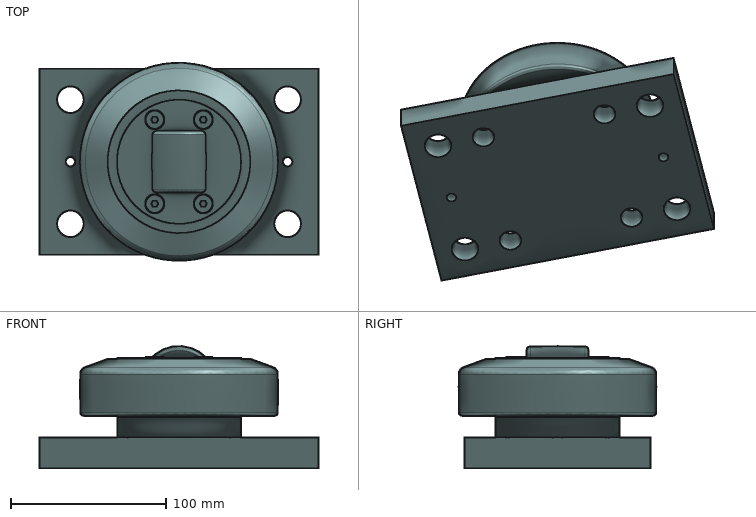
import cadquery as cq
import math

PLATE_LENGTH = 180.0
PLATE_WIDTH = 120.0
PLATE_THICKNESS = 20.0
MOUNT_HOLE_DIAMETER = 17.0
MOUNT_HOLE_X = 70.0
TAPPED_HOLE_DIAMETER = 13.84
TAPPED_HOLE_X = 40.0
HOLE_ROW_Y = 40.0
DOWEL_HOLE_DIAMETER = 6.0

PIN_DIAMETER = 80.0
PIN_COLLAR_TOP_Z = 32.9
PIN_NECK_DIAMETER = 79.5
CAP_TOP_Z = 71.5

CROWN_RADIUS = 500.0

ROLLER_BOTTOM_Z = 33.8
ROLLER_TOP_Z = 70.7
ROLLER_DIAMETER = 127.79
ROLLER_TOP_FACE_DIAMETER = 92.0
ROLLER_CONE_ANGLE = 20.0
ROLLER_TOP_FILLET = 5.0
ROLLER_BOTTOM_FILLET = 2.5

SIDE_ROLLER_TOP_Z = 79.0
SIDE_ROLLER_DIAMETER = 48.5
SIDE_ROLLER_LENGTH = 40.0
SIDE_ROLLER_FILLET = 2.5

SCREW_HEAD_DIAMETER = 11.7
SCREW_HEAD_HEIGHT = 0.5
SCREW_SEAT_DIAMETER = 12.4
SCREW_SEAT_DEPTH = 0.5
SCREW_CIRCLE_RADIUS = 31.3
SCREW_ANGLE = 60.0
HEX_ACROSS_FLATS = 4.0
HEX_DEPTH = 1.0
HEX_SIDES = 6


def crown_drop(half_length):
    """Loss of radius of a crowned rim at a distance from its middle."""
    return CROWN_RADIUS - math.sqrt(CROWN_RADIUS**2 - half_length**2)


def mirrored_points(x, y):
    """The four points at plus and minus x and y."""
    return [(sign_x * x, sign_y * y) for sign_x in (-1, 1) for sign_y in (-1, 1)]


def base_plate():
    plate = cq.Workplane("XY").box(
        PLATE_LENGTH, PLATE_WIDTH, PLATE_THICKNESS, centered=(True, True, False)
    )
    hole_groups = [
        (MOUNT_HOLE_DIAMETER, mirrored_points(MOUNT_HOLE_X, HOLE_ROW_Y)),
        (TAPPED_HOLE_DIAMETER, mirrored_points(TAPPED_HOLE_X, HOLE_ROW_Y)),
        (DOWEL_HOLE_DIAMETER, [(-MOUNT_HOLE_X, 0), (MOUNT_HOLE_X, 0)]),
    ]
    for diameter, points in hole_groups:
        holes = cq.Workplane("XY").pushPoints(points).circle(diameter / 2).extrude(PLATE_THICKNESS)
        plate = plate.cut(holes)
    return plate


def pin():
    """Pin with a slightly narrower neck where it enters the main roller."""
    collar_height = PIN_COLLAR_TOP_Z - PLATE_THICKNESS
    neck_height = ROLLER_TOP_Z - PIN_COLLAR_TOP_Z
    cap_height = CAP_TOP_Z - ROLLER_TOP_Z
    return (
        cq.Workplane("XY", origin=(0, 0, PLATE_THICKNESS))
        .circle(PIN_DIAMETER / 2)
        .extrude(collar_height)
        .faces(">Z")
        .workplane()
        .circle(PIN_NECK_DIAMETER / 2)
        .extrude(neck_height)
        .faces(">Z")
        .workplane()
        .circle(PIN_DIAMETER / 2)
        .extrude(cap_height)
    )


def main_roller():
    radius = ROLLER_DIAMETER / 2
    top_face_radius = ROLLER_TOP_FACE_DIAMETER / 2
    cone_drop = (radius - top_face_radius) * math.tan(math.radians(ROLLER_CONE_ANGLE))
    shoulder_z = ROLLER_TOP_Z - cone_drop
    middle_z = (ROLLER_BOTTOM_Z + shoulder_z) / 2
    edge_radius = radius - crown_drop(shoulder_z - middle_z)
    roller = (
        cq.Workplane("XZ")
        .moveTo(0, ROLLER_BOTTOM_Z)
        .lineTo(edge_radius, ROLLER_BOTTOM_Z)
        .threePointArc((radius, middle_z), (edge_radius, shoulder_z))
        .lineTo(top_face_radius, ROLLER_TOP_Z)
        .lineTo(0, ROLLER_TOP_Z)
        .close()
        .revolve(360, (0, 0), (0, 1))
    )
    shoulder_edge = cq.selectors.NearestToPointSelector((0, 0, shoulder_z))
    roller = roller.edges(shoulder_edge).fillet(ROLLER_TOP_FILLET)
    return roller.faces("<Z").edges().fillet(ROLLER_BOTTOM_FILLET)


def side_roller():
    radius = SIDE_ROLLER_DIAMETER / 2
    half_length = SIDE_ROLLER_LENGTH / 2
    edge_radius = radius - crown_drop(half_length)
    roller = (
        cq.Workplane("XY")
        .moveTo(0, -half_length)
        .lineTo(edge_radius, -half_length)
        .threePointArc((radius, 0), (edge_radius, half_length))
        .lineTo(0, half_length)
        .close()
        .revolve(360, (0, 0), (0, 1))
        .faces("<Y or >Y")
        .edges()
        .fillet(SIDE_ROLLER_FILLET)
    )
    return roller.translate((0, 0, SIDE_ROLLER_TOP_Z - radius))


def screw_positions():
    x = SCREW_CIRCLE_RADIUS * math.cos(math.radians(SCREW_ANGLE))
    y = SCREW_CIRCLE_RADIUS * math.sin(math.radians(SCREW_ANGLE))
    return mirrored_points(x, y)


def screw_discs(base_z, diameter, height):
    """One disc at each screw, growing upwards from base_z."""
    base = cq.Workplane("XY", origin=(0, 0, base_z))
    return base.pushPoints(screw_positions()).circle(diameter / 2).extrude(height)


def hex_sockets():
    across_corners = HEX_ACROSS_FLATS / math.cos(math.pi / HEX_SIDES)
    head_top = cq.Workplane("XY").workplane(offset=CAP_TOP_Z + SCREW_HEAD_HEIGHT)
    return head_top.pushPoints(screw_positions()).polygon(HEX_SIDES, across_corners).extrude(-HEX_DEPTH)


screw_seat_z = CAP_TOP_Z - SCREW_SEAT_DEPTH
screw_seats = screw_discs(screw_seat_z, SCREW_SEAT_DIAMETER, SCREW_SEAT_DEPTH)
screw_heads = screw_discs(screw_seat_z, SCREW_HEAD_DIAMETER, SCREW_SEAT_DEPTH + SCREW_HEAD_HEIGHT)

result = (
    base_plate()
    .union(pin())
    .union(main_roller())
    .cut(screw_seats)
    .union(screw_heads)
    .cut(hex_sockets())
    .union(side_roller())
)